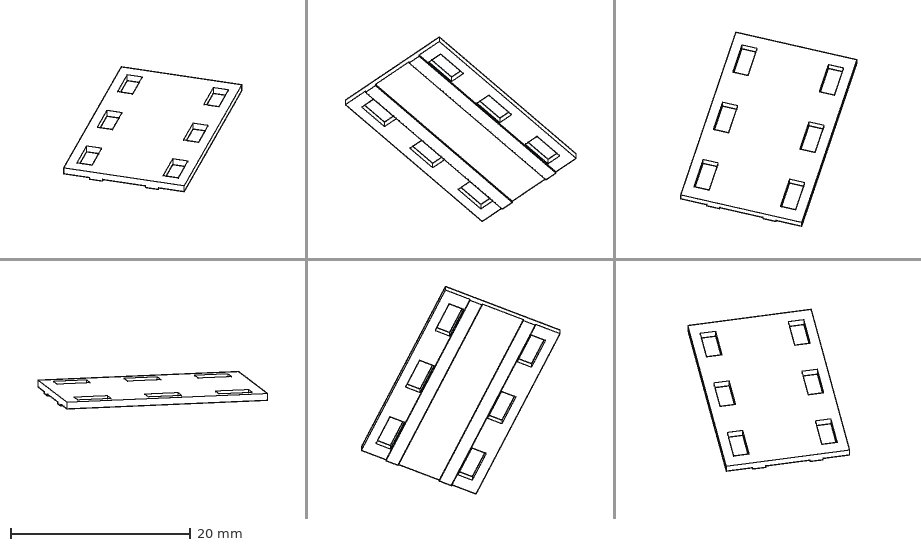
import cadquery as cq

width = 14.0
length = 23.0
height = 1.0

rail_height = 0.2
rail_width = 1.5
rail_spacing = 6.5
plate_thickness = height - rail_height

window_width = 1.75
window_length = 3.82
column_spacing = 10.0
row_spacing = 8.1


def make_plate():
    """Flat plate resting on top of the rails, with its underside at Z = 0."""
    return cq.Workplane("XY").box(width, length, plate_thickness, centered=(True, True, False))


def make_windows():
    """Cutters for the six windows."""
    return (
        cq.Workplane("XY")
        .rarray(column_spacing, row_spacing, 2, 3)
        .rect(window_width, window_length)
        .extrude(plate_thickness)
    )


def make_rails():
    """Two shallow rails hanging below the plate."""
    return (
        cq.Workplane("XY")
        .rarray(rail_spacing, 0.23, 2, 1)
        .rect(rail_width, length)
        .extrude(-rail_height)
    )


result = make_plate().cut(make_windows()).union(make_rails())